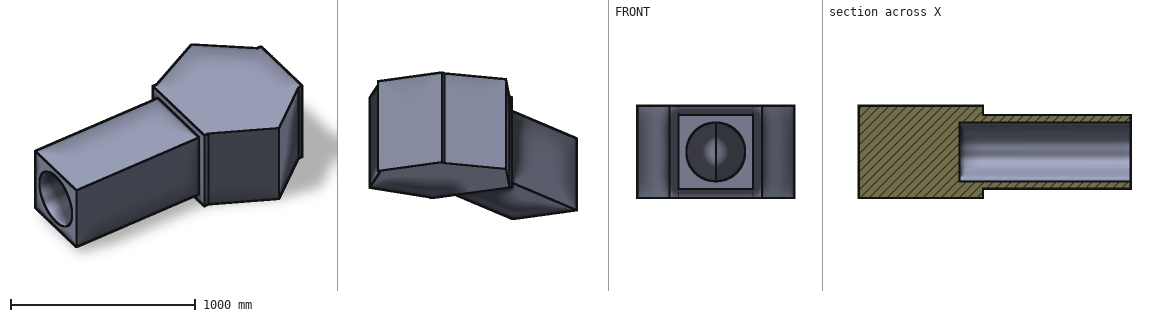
import cadquery as cq

total_length = 1472.0
head_width = 850.0
head_height = 500.0
head_length = 673.0

front_lip_width = head_height
front_lip_depth = 26.0
back_lip_depth = 25.0
corner_from_back = 303.0

arm_side = 400.0
bore_diameter = 318.0

wedge_tip_from_back = 546.0
wedge_half_width = 212.0
wedge_depth = 178.0

front_y = -total_length / 2
back_y = total_length / 2
head_front_y = back_y - head_length


def make_head():
    """Six-sided block with a short straight lip at its front and back."""
    right_side = [
        (front_lip_width / 2, head_front_y),
        (front_lip_width / 2, head_front_y + front_lip_depth),
        (head_width / 2, back_y - corner_from_back),
        (arm_side / 2, back_y - back_lip_depth),
        (arm_side / 2, back_y),
    ]
    left_side = [(-x, y) for x, y in reversed(right_side)]
    outline = cq.Workplane("XY").polyline(right_side + left_side).close()
    return outline.extrude(head_height / 2, both=True)


def make_arm():
    """Square bar reaching from the front end to the head."""
    arm_length = total_length - head_length
    arm = cq.Workplane("XY").box(arm_side, arm_length, arm_side)
    return arm.translate((0, front_y + arm_length / 2, 0))


def make_bore():
    """Round hole from the front end, ending on the wedge-shaped wall."""
    wedge_tip_y = back_y - wedge_tip_from_back
    wedge_base_y = wedge_tip_y + wedge_depth
    bore_length = wedge_base_y - front_y
    bore = (
        cq.Workplane("XZ", origin=(0, front_y, 0))
        .circle(bore_diameter / 2)
        .extrude(-bore_length)
    )
    wedge_outline = [
        (0, wedge_tip_y),
        (wedge_half_width, wedge_base_y),
        (-wedge_half_width, wedge_base_y),
    ]
    wedge = (
        cq.Workplane("XY")
        .polyline(wedge_outline)
        .close()
        .extrude(head_height / 2, both=True)
    )
    return bore.cut(wedge)


result = make_head().union(make_arm()).cut(make_bore())